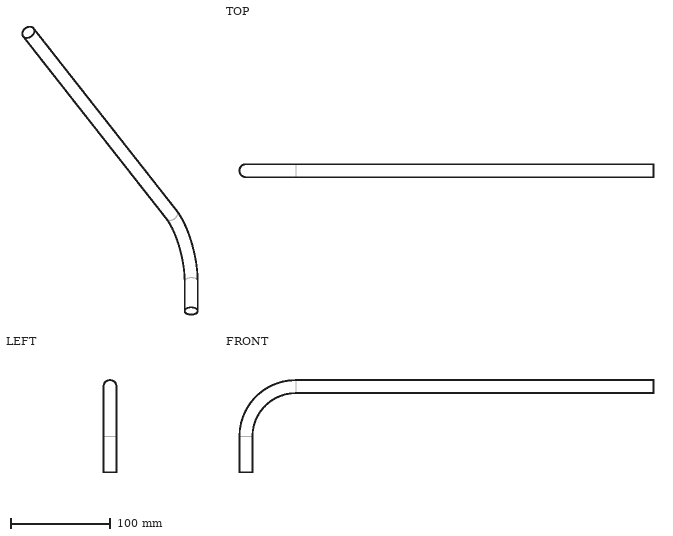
import cadquery as cq

overall_length = 416.5
overall_height = 93.0
rod_diameter = 13.5
bend_radius = 50.0

rod_radius = rod_diameter / 2
bend_outer_radius = bend_radius + rod_radius
short_leg = overall_height - bend_outer_radius
long_leg = overall_length - bend_outer_radius

centreline = (
    cq.Workplane("XZ")
    .lineTo(0, short_leg)
    .radiusArc((bend_radius, short_leg + bend_radius), bend_radius)
    .lineTo(bend_radius + long_leg, short_leg + bend_radius)
)

result = cq.Workplane("XY").circle(rod_radius).sweep(centreline)